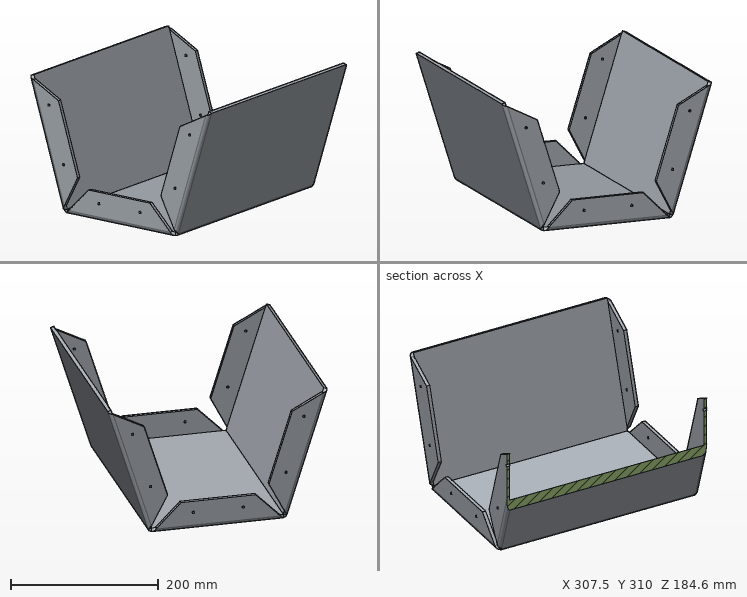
import cadquery as cq
import math

overall_width = 307.47
overall_height = 184.62
overall_depth = 310.0
thickness = 5.0
wall_lean = 17.5
flange_height = 35.0
hole_diameter = 3.0

base_hole_half_spacing = 35.0
base_hole_height = 18.7
wall_hole_height = 16.5
wall_hole_positions = (61.0, 144.5)

lean = math.radians(wall_lean)
half_depth = overall_depth / 2
bend_line = half_depth - thickness
wall_length = (overall_height - thickness) / math.cos(lean)
corner_x = overall_width / 2 - wall_length * math.sin(lean) - thickness * math.cos(lean)
base_length = 2 * corner_x


def wall_point(along, inward):
    """Right wall point (x, z): distance up the wall and inward from its inner face."""
    x = corner_x + along * math.sin(lean) - inward * math.cos(lean)
    z = thickness + along * math.cos(lean) + inward * math.sin(lean)
    return x, z


def mirrored(point):
    return -point[0], point[1]


def make_trough():
    """Base and both leaning walls, joined by bends with sharp inner corners."""
    inner_corner = (corner_x, thickness)
    inner_top = wall_point(wall_length, 0)
    outer_top = wall_point(wall_length, -thickness)
    bend_end = wall_point(0, -thickness)
    half_turn = (math.pi / 2 - lean) / 2
    bend_middle = (
        corner_x + thickness * math.sin(half_turn),
        thickness - thickness * math.cos(half_turn),
    )
    bend_start = (corner_x, 0)
    return (
        cq.Workplane("XZ")
        .moveTo(*mirrored(bend_start))
        .lineTo(*bend_start)
        .threePointArc(bend_middle, bend_end)
        .lineTo(*outer_top)
        .lineTo(*inner_top)
        .lineTo(*inner_corner)
        .lineTo(*mirrored(inner_corner))
        .lineTo(*mirrored(inner_top))
        .lineTo(*mirrored(outer_top))
        .lineTo(*mirrored(bend_end))
        .threePointArc(mirrored(bend_middle), mirrored(bend_start))
        .close()
        .extrude(bend_line, both=True)
    )


def make_bend(length):
    """Quarter-round bend along a panel edge, its ends tapering as the sheet turns.

    The axis of the bend is the X axis, and the sheet turns from -Z to -Y. Across that quarter
    turn each end moves in by one thickness, so it is cut by a helical face.
    """
    quarter_turn = 90
    round_strip = (
        cq.Workplane("YZ")
        .lineTo(0, -thickness)
        .radiusArc((-thickness, 0), thickness)
        .close()
        .extrude(length)
    )
    cutter_size = 2 * thickness
    end_cutter = (
        cq.Workplane("YZ")
        .lineTo(0, -cutter_size)
        .lineTo(-cutter_size, -cutter_size)
        .lineTo(-cutter_size, 0)
        .close()
        .twistExtrude(thickness, -quarter_turn)
    )
    far_cutter = end_cutter.mirror("YZ").translate((length, 0, 0))
    return round_strip.cut(end_cutter).cut(far_cutter)


def make_flange(length, hole_positions, hole_height):
    """Front flange with its bend: X runs along the panel, Z=0 is the panel's inner face."""
    end_inset = thickness + flange_height
    plate = (
        cq.Workplane("XZ", origin=(0, -bend_line, 0))
        .moveTo(thickness, 0)
        .lineTo(length - thickness, 0)
        .lineTo(length - end_inset, flange_height)
        .lineTo(end_inset, flange_height)
        .close()
        .extrude(thickness)
    )
    holes = (
        cq.Workplane("XZ", origin=(0, -bend_line, 0))
        .pushPoints([(position, hole_height) for position in hole_positions])
        .circle(hole_diameter / 2)
        .extrude(thickness)
    )
    bend = make_bend(length).translate((0, -bend_line, 0))
    return plate.cut(holes).union(bend)


def make_front_flanges():
    """Flanges along the front edges of the base and the two walls."""
    base_holes = (corner_x - base_hole_half_spacing, corner_x + base_hole_half_spacing)
    base_flange = make_flange(base_length, base_holes, base_hole_height)
    base_flange = base_flange.translate((-corner_x, 0, thickness))
    wall_flange = (
        make_flange(wall_length, wall_hole_positions, wall_hole_height)
        .rotate((0, 0, 0), (0, 1, 0), wall_lean - 90)
        .translate((corner_x, 0, thickness))
    )
    return [base_flange, wall_flange, wall_flange.mirror("YZ")]


result = make_trough()
for flange in make_front_flanges():
    result = result.union(flange).union(flange.mirror("XZ"))